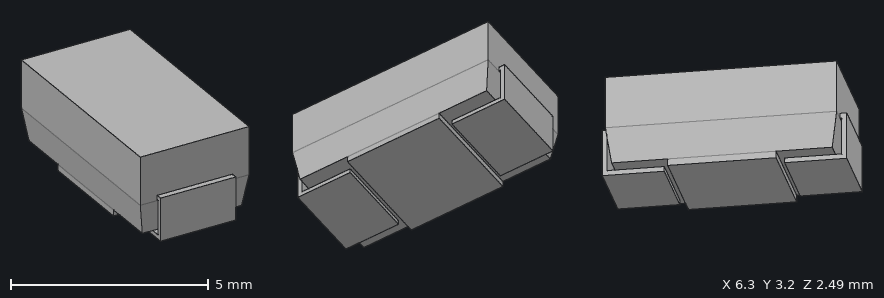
import cadquery as cq

overall_length = 6.3
overall_height = 2.49

housing_length = 5.96
housing_width = 3.2
parting_height = 1.1
underside_height = 0.18
taper_inset = 0.14

standoff_length = 2.79
standoff_width = housing_width - 2 * taper_inset

lead_thickness = 0.13
lead_width = 2.21
lead_height = 1.25
foot_length = 1.6


def make_housing():
    """Straight upper block, tapered lower block and standoff pad as one solid."""
    upper_block = (
        cq.Workplane("XY")
        .workplane(offset=parting_height)
        .rect(housing_length, housing_width)
        .extrude(overall_height - parting_height)
    )
    lower_block = (
        cq.Workplane("XY")
        .workplane(offset=underside_height)
        .rect(housing_length - 2 * taper_inset, housing_width - 2 * taper_inset)
        .workplane(offset=parting_height - underside_height)
        .rect(housing_length, housing_width)
        .loft(ruled=True)
    )
    standoff = cq.Workplane("XY").rect(standoff_length, standoff_width).extrude(underside_height)
    return upper_block.union(lower_block).union(standoff)


def make_lead(side):
    """C-shaped lead at one end: side is -1 for the -X end and +1 for the +X end."""
    outer_x = overall_length / 2
    inner_x = outer_x - lead_thickness
    housing_end_x = housing_length / 2
    foot_end_x = outer_x - foot_length
    tab_underside = lead_height - lead_thickness
    profile = [
        (foot_end_x, 0),
        (outer_x, 0),
        (outer_x, lead_height),
        (housing_end_x, lead_height),
        (housing_end_x, tab_underside),
        (inner_x, tab_underside),
        (inner_x, lead_thickness),
        (foot_end_x, lead_thickness),
    ]
    return (
        cq.Workplane("XZ")
        .polyline([(side * x, z) for x, z in profile])
        .close()
        .extrude(lead_width / 2, both=True)
    )


housing = make_housing()
leads = [make_lead(side) for side in (-1, 1)]

result = cq.Compound.makeCompound([housing.val(), *[lead.val() for lead in leads]])